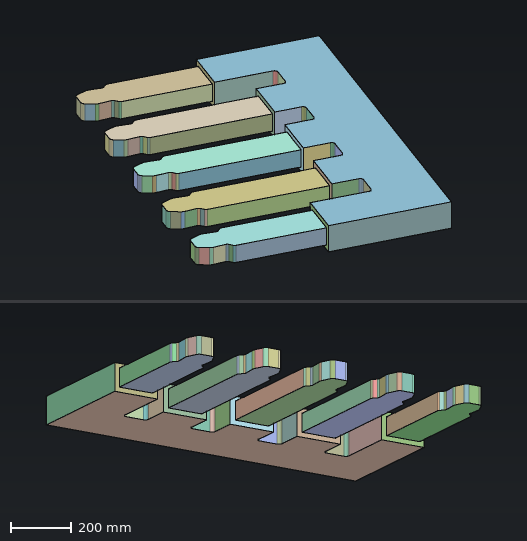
import cadquery as cq


LENGTH = 1204.0
DEPTH = 892.0
BODY_THICKNESS = 101.0

PIN_COUNT = 5
PIN_PITCH = 260.0
PIN_WIDTH = 129.0
PIN_THICKNESS = 66.0

END_FINGER_DEPTH = 440.0
INNER_FINGER_DEPTH = 326.0
SLOT_DEPTH = 218.0
SLOT_WIDTH = 92.0
SLOT_CORNER_RADIUS = 12.0

SHOULDER_DISTANCE = 124.0
NECK_DISTANCE = 106.0
NECK_WIDTH = 92.0
BULGE_DISTANCE = 48.0
BULGE_WIDTH = 100.0
TIP_WIDTH = 60.0
SHOULDER_RADIUS = 12.0
BULGE_RADIUS = 29.0
TIP_RADIUS = 16.0

BACK_Y = DEPTH / 2
TIP_Y = -DEPTH / 2
SLOT_END_Y = BACK_Y - SLOT_DEPTH
INNER_FINGER_Y = BACK_Y - INNER_FINGER_DEPTH
END_FINGER_Y = BACK_Y - END_FINGER_DEPTH


def centered_positions(count):
    """X positions of `count` features spaced at the pin pitch about X = 0."""
    return [(i - (count - 1) / 2) * PIN_PITCH for i in range(count)]


def plate(x_center, width, y_front, y_back):
    """Rectangular block as thick as the body."""
    return (
        cq.Workplane("XY")
        .box(width, y_back - y_front, BODY_THICKNESS)
        .translate((x_center, (y_front + y_back) / 2, 0))
    )


def make_body():
    """Body with deeper end fingers, shorter inner fingers and slots between them."""
    slot_positions = centered_positions(PIN_COUNT - 1)
    inner_width = slot_positions[-1] - slot_positions[0]
    body = plate(0, LENGTH, END_FINGER_Y, BACK_Y)
    body = body.cut(plate(0, inner_width, END_FINGER_Y, INNER_FINGER_Y))
    for x in slot_positions:
        slot = plate(x, SLOT_WIDTH, END_FINGER_Y, SLOT_END_Y)
        body = body.cut(slot.edges("|Z and >Y").fillet(SLOT_CORNER_RADIUS))
    return body


def round_corners(solid, width, distance, radius):
    """Round the pair of upright edges at one distance behind the tip."""
    for side in (-1, 1):
        corner = (side * width / 2, TIP_Y + distance, 0)
        solid = solid.edges("|Z").edges(cq.NearestToPointSelector(corner)).fillet(radius)
    return solid


def make_pin():
    """Flat pin centred on X = 0, rooted in the body, with a necked and tapered nose."""
    right_side = [
        (PIN_WIDTH / 2, SLOT_END_Y),
        (PIN_WIDTH / 2, TIP_Y + SHOULDER_DISTANCE),
        (NECK_WIDTH / 2, TIP_Y + NECK_DISTANCE),
        (BULGE_WIDTH / 2, TIP_Y + BULGE_DISTANCE),
        (TIP_WIDTH / 2, TIP_Y),
    ]
    left_side = [(-x, y) for x, y in reversed(right_side)]
    pin = (
        cq.Workplane("XY")
        .polyline(right_side + left_side)
        .close()
        .extrude(PIN_THICKNESS / 2, both=True)
    )
    pin = round_corners(pin, PIN_WIDTH, SHOULDER_DISTANCE, SHOULDER_RADIUS)
    pin = round_corners(pin, NECK_WIDTH, NECK_DISTANCE, SHOULDER_RADIUS)
    pin = round_corners(pin, BULGE_WIDTH, BULGE_DISTANCE, BULGE_RADIUS)
    return round_corners(pin, TIP_WIDTH, 0, TIP_RADIUS)


result = make_body()
pin_blank = make_pin()
for pin_x in centered_positions(PIN_COUNT):
    result = result.union(pin_blank.translate((pin_x, 0, 0)))